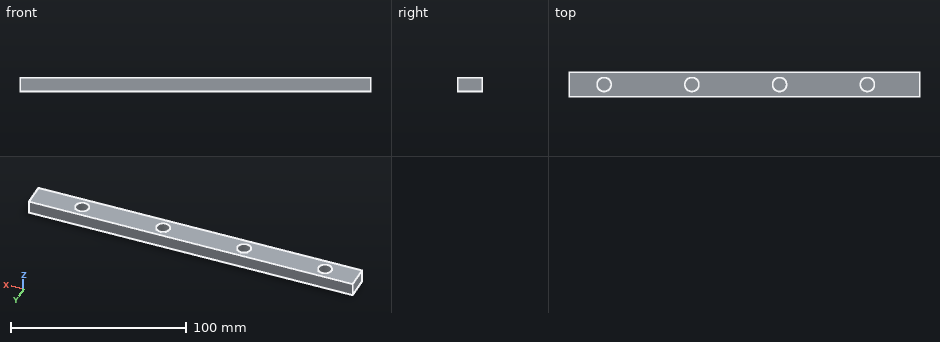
import cadquery as cq

length = 200.0
width = 14.0
height = 8.0

hole_diameter = 8.0
hole_depth = 6.0
hole_count = 4
hole_pitch = length / hole_count
first_hole_from_end = 20.0

bar = cq.Workplane("XY").box(length, width, height)

first_hole_x = -length / 2 + first_hole_from_end
hole_centers = [(first_hole_x + i * hole_pitch, 0) for i in range(hole_count)]

result = (
    bar.faces(">Z")
    .workplane()
    .pushPoints(hole_centers)
    .hole(hole_diameter, hole_depth)
)